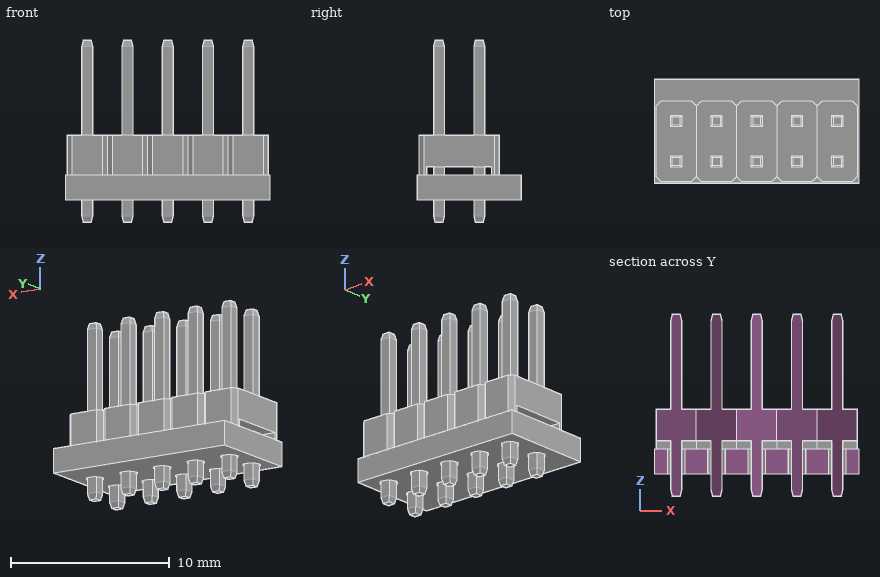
import cadquery as cq

BOARD_LENGTH = 12.93
BOARD_WIDTH = 6.58
BOARD_THICKNESS = 1.6
BOARD_HOLE_DIAMETER = 1.1

MODULE_COUNT = 5
EDGE_MARGIN = 0.12
PITCH = (BOARD_LENGTH - 2 * EDGE_MARGIN) / MODULE_COUNT
ROW_COUNT = 2
HOUSING_LENGTH = PITCH
HOUSING_WIDTH = ROW_COUNT * PITCH
HOUSING_HEIGHT = 2.5
HOUSING_CHAMFER = 0.31
CHANNEL_HEIGHT = 0.5
LEG_WIDTH = 0.5
HOUSING_Y = -BOARD_WIDTH / 2 + EDGE_MARGIN + HOUSING_WIDTH / 2

PIN_SIZE = 0.7
PIN_ABOVE_HOUSING = 6.0
PIN_BELOW_BOARD = 1.4
TIP_HEIGHT = 0.4
TIP_SIZE = 0.5
PIN_BOTTOM = -PIN_BELOW_BOARD
PIN_TOP = BOARD_THICKNESS + HOUSING_HEIGHT + PIN_ABOVE_HOUSING

module_xs = [(i - (MODULE_COUNT - 1) / 2) * PITCH for i in range(MODULE_COUNT)]
row_ys = [HOUSING_Y + (i - (ROW_COUNT - 1) / 2) * PITCH for i in range(ROW_COUNT)]


def make_board():
    """Plain plate with a round clearance hole for every pin."""
    plate = cq.Workplane("XY").box(
        BOARD_LENGTH, BOARD_WIDTH, BOARD_THICKNESS, centered=(True, True, False)
    )
    hole_points = [(x, y) for x in module_xs for y in row_ys]
    holes = (
        cq.Workplane("XY")
        .pushPoints(hole_points)
        .circle(BOARD_HOLE_DIAMETER / 2)
        .extrude(BOARD_THICKNESS)
    )
    return plate.cut(holes)


def make_housing(x):
    """Block with chamfered upright edges and a channel along X underneath."""
    block = (
        cq.Workplane("XY")
        .box(HOUSING_LENGTH, HOUSING_WIDTH, HOUSING_HEIGHT, centered=(True, True, False))
        .edges("|Z")
        .chamfer(HOUSING_CHAMFER)
    )
    channel = cq.Workplane("XY").box(
        HOUSING_LENGTH,
        HOUSING_WIDTH - 2 * LEG_WIDTH,
        CHANNEL_HEIGHT,
        centered=(True, True, False),
    )
    return block.cut(channel).translate((x, HOUSING_Y, BOARD_THICKNESS))


def make_tip(start_z, end_z):
    """Square taper from the full pin size at start_z to the tip size at end_z."""
    return (
        cq.Workplane("XY", origin=(0, 0, start_z))
        .rect(PIN_SIZE, PIN_SIZE)
        .workplane(offset=end_z - start_z)
        .rect(TIP_SIZE, TIP_SIZE)
        .loft(ruled=True)
    )


def make_pin(x, y):
    """Square shank with a tapered tip at each end."""
    shank_bottom = PIN_BOTTOM + TIP_HEIGHT
    shank_top = PIN_TOP - TIP_HEIGHT
    shank = (
        cq.Workplane("XY", origin=(0, 0, shank_bottom))
        .rect(PIN_SIZE, PIN_SIZE)
        .extrude(shank_top - shank_bottom)
    )
    lower_tip = make_tip(shank_bottom, PIN_BOTTOM)
    upper_tip = make_tip(shank_top, PIN_TOP)
    return shank.union(lower_tip).union(upper_tip).translate((x, y, 0))


def make_header_module(x):
    """One header body: a housing together with its two moulded-in pins."""
    module = make_housing(x)
    for y in row_ys:
        module = module.union(make_pin(x, y))
    return module


board = make_board().solids()
header_modules = [make_header_module(x).solids().val() for x in module_xs]

result = cq.Compound.makeCompound([board.val(), *header_modules])